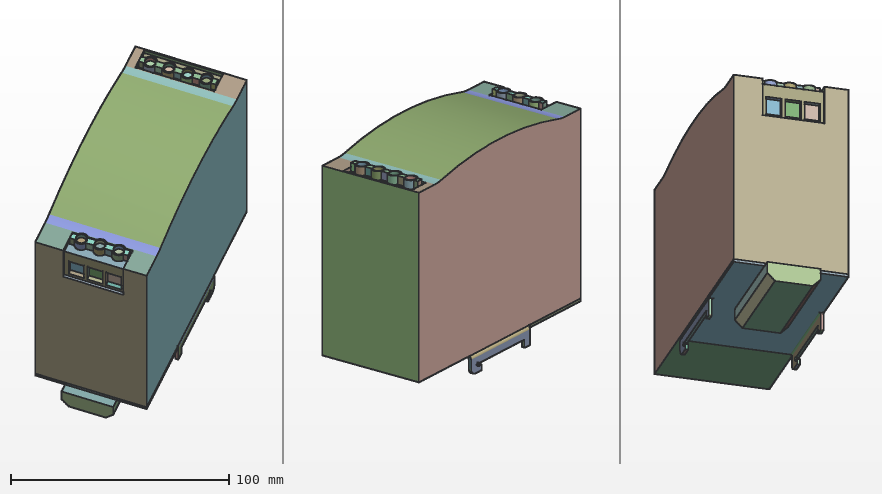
import cadquery as cq
import math


case_width = 55.0
case_length = 125.6
case_bottom = 10.7
case_top = 104.8
dome_height = 6.0
dome_half_length = 50.3
dome_blend_radius = 20.8

front_contacts = 3
back_contacts = 4
contact_pitch = 9.2
last_contact_x = 10.7
contact_y = 54.9
pocket_right = 16.0
pocket_side_margin = 2.0
pocket_inner_y = 51.1
pocket_depth = 2.1
back_wall = 0.6
terminal_setback = 1.4
terminal_bottom = 86.0
ring_radius = 3.2
ring_bore_radius = 2.6
ring_bore_depth = 2.3
strip_width = 3.1
strip_end_margin = 1.0
strip_height = 4.3
window_width = 7.5
window_height = 8.8
window_depth = 2.3
window_bottom = 87.6

sheet = 1.4
bend_radius = 2.2
leg_back = 22.4
leg_front = -23.5
leg_bottom = 0.5
leg_rail_bottom = 4.7
prong_width = 4.5
prong_corner_radius = 0.5
hook_radius = 3.5
hook_tip_y = 13.9
hook_tip_top = 3.2
hook_notch = [(16.0, leg_rail_bottom), (16.9, 5.5), (17.8, 4.4), (16.4, hook_tip_top)]
latch_width = 25.5
latch_chamfer = 3.6
latch_back = -15.7
latch_overhang = 4.4

half_length = case_length / 2
terminal_top = case_top - pocket_depth


def box(x_min, x_max, y_min, y_max, z_min, z_max):
    """Axis-aligned block between the given limits."""
    size = (x_max - x_min, y_max - y_min, z_max - z_min)
    return cq.Workplane("XY").box(*size, centered=False).translate((x_min, y_min, z_min))


def case_shell():
    """Block with a domed top that runs tangentially into the flat ends."""
    centre_distance = (dome_half_length**2 + dome_height**2) / (2 * dome_height)
    dome_radius = centre_distance - dome_blend_radius
    slope = math.asin(dome_half_length / centre_distance)
    peak = case_top + dome_height

    def on_dome(angle):
        return (dome_radius * math.sin(angle), peak - dome_radius * (1 - math.cos(angle)))

    def on_blend(angle):
        return (
            dome_half_length - dome_blend_radius * math.sin(angle),
            case_top + dome_blend_radius * (1 - math.cos(angle)),
        )

    def mirrored(point):
        return (-point[0], point[1])

    return (
        cq.Workplane("YZ")
        .moveTo(-half_length, case_bottom)
        .lineTo(half_length, case_bottom)
        .lineTo(half_length, case_top)
        .lineTo(dome_half_length, case_top)
        .threePointArc(on_blend(slope / 2), on_dome(slope))
        .threePointArc(on_dome(slope / 2), on_dome(0))
        .threePointArc(on_dome(-slope / 2), on_dome(-slope))
        .threePointArc(mirrored(on_blend(slope / 2)), (-dome_half_length, case_top))
        .lineTo(-half_length, case_top)
        .close()
        .extrude(case_width / 2, both=True)
    )


def pocket_left(contacts):
    return pocket_right - contacts * contact_pitch - pocket_side_margin


def contact_places(contacts):
    """X positions of the contacts of one terminal."""
    return [last_contact_x - i * contact_pitch for i in range(contacts)]


def add_contact_strip(body, contacts, y):
    """Narrow strip with a bored ring over each contact, standing on the terminal."""
    places = contact_places(contacts)
    strip_length = contacts * contact_pitch + strip_end_margin
    middle_x = (places[0] + places[-1]) / 2
    base = cq.Workplane("XY", origin=(0, y, terminal_top))
    points = [(x, 0) for x in places]
    strip = base.center(middle_x, 0).rect(strip_length, strip_width).extrude(strip_height)
    rings = base.pushPoints(points).circle(ring_radius).extrude(strip_height)
    bores = (
        base.workplane(offset=strip_height - ring_bore_depth)
        .pushPoints(points)
        .circle(ring_bore_radius)
        .extrude(ring_bore_depth)
    )
    return body.union(strip).union(rings).cut(bores)


def add_front_terminal(body):
    """Three-way terminal set back from the front face, with a wire window per contact."""
    left = pocket_left(front_contacts)
    face_y = terminal_setback - half_length
    body = body.cut(box(left, pocket_right, -half_length, -pocket_inner_y, terminal_top, case_top))
    body = body.cut(box(left, pocket_right, -half_length, face_y, terminal_bottom, case_top))
    for x in contact_places(front_contacts):
        window = box(
            x - window_width / 2,
            x + window_width / 2,
            face_y,
            face_y + window_depth,
            window_bottom,
            window_bottom + window_height,
        )
        body = body.cut(window)
    return add_contact_strip(body, front_contacts, -contact_y)


def add_back_terminal(body):
    """Four-way terminal in a pocket that leaves a thin wall at the back."""
    left = pocket_left(back_contacts)
    wall_y = half_length - back_wall
    body = body.cut(box(left, pocket_right, pocket_inner_y, wall_y, terminal_top, case_top))
    return add_contact_strip(body, back_contacts, contact_y)


def bracket_channel():
    """Sheet channel along Y: flat top, rounded bends and two side legs."""
    inner_radius = bend_radius - sheet
    outer = box(-case_width / 2, case_width / 2, leg_front, leg_back, 0, case_bottom)
    outer = outer.edges("|Y and >Z").fillet(bend_radius)
    inner_half = case_width / 2 - sheet
    inner = box(-inner_half, inner_half, leg_front, leg_back, 0, case_bottom - sheet)
    inner = inner.edges("|Y and >Z").fillet(inner_radius)
    return outer.cut(inner)


def leg_outline():
    """Side profile of the legs: hook at the back, straight prong at the front."""
    arc_offset = hook_radius * (1 - math.sqrt(0.5))
    rail_and_hook = (
        cq.Workplane("YZ")
        .moveTo(leg_back, case_bottom)
        .lineTo(leg_front, case_bottom)
        .lineTo(leg_front, leg_rail_bottom)
        .polyline(hook_notch, includeCurrent=True)
        .lineTo(hook_tip_y, hook_tip_top)
        .lineTo(hook_tip_y, leg_bottom)
        .lineTo(leg_back - hook_radius, leg_bottom)
        .threePointArc(
            (leg_back - arc_offset, leg_bottom + arc_offset), (leg_back, leg_bottom + hook_radius)
        )
        .close()
        .extrude(case_width / 2, both=True)
    )
    prong_back = leg_front + prong_width
    prong = box(-case_width / 2, case_width / 2, leg_front, prong_back, leg_bottom, leg_rail_bottom)
    prong = prong.edges("|X and <Z").fillet(prong_corner_radius)
    return rail_and_hook.union(prong)


def make_foot():
    """Bracket and latch slide as one body under the case."""
    plate_bottom = case_bottom - sheet
    bracket = bracket_channel().intersect(leg_outline())
    plate = box(-case_width / 2, case_width / 2, -half_length, leg_front, plate_bottom, case_bottom)
    latch_front = -half_length - latch_overhang
    latch = box(-latch_width / 2, latch_width / 2, latch_front, latch_back, 0, plate_bottom)
    latch = latch.edges("|Y and <Z").chamfer(latch_chamfer)
    return bracket.union(plate).union(latch)


housing = add_back_terminal(add_front_terminal(case_shell()))
foot = make_foot()

result = cq.Compound.makeCompound([housing.val(), foot.val()])